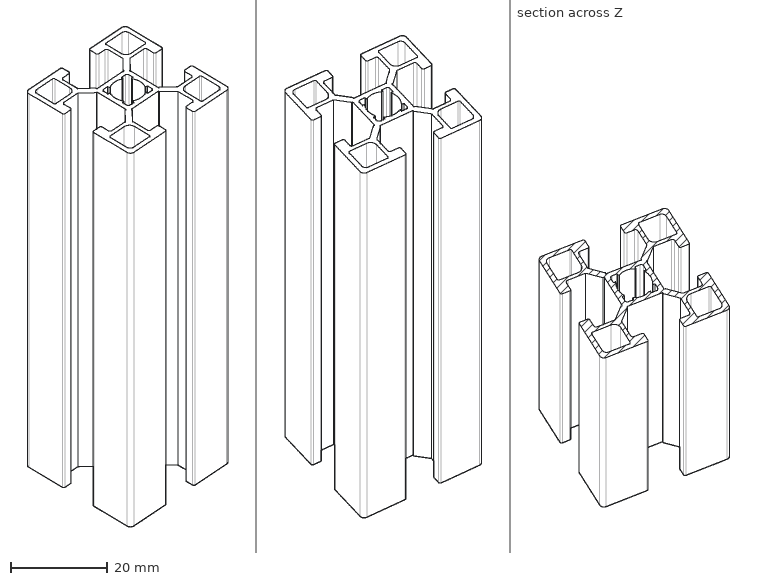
import cadquery as cq
import math

length = 100.0
width = 30.0
outer_radius = 1.0

slot_opening = 8.2
cavity_width = 13.6
lip_thickness = 2.5
lip_radius = 0.4
cavity_radius = 0.5
web_thickness = 1.5
core_width = 9.8

post_wall = 0.95
skin = 1.2
pocket_outer_radius = 1.0
pocket_inner_radius = 1.5
pocket_side_radius = 0.3

bore_width = 6.6
bore_diameter = 7.5
notch_start = 2.1
notch_radius = 0.5

half_width = width / 2
half_opening = slot_opening / 2
half_cavity = cavity_width / 2
half_core = core_width / 2
lip_inner = half_width - lip_thickness
web_offset = web_thickness / 2 * math.sqrt(2)
reach = 0.05

SIDES = (0, 90, 180, 270)


def round_edges(body, points, radius):
    """Fillet the lengthwise edges that pass through the given (x, y) points."""
    for x, y in points:
        box = cq.selectors.BoxSelector(
            (x - reach, y - reach, -reach), (x + reach, y + reach, length + reach)
        )
        body = body.edges("|Z").edges(box).fillet(radius)
    return body


def box_between(x_min, x_max, y_min, y_max):
    """Full-length bar filling the given X and Y ranges."""
    return (
        cq.Workplane("XY")
        .center((x_min + x_max) / 2, (y_min + y_max) / 2)
        .rect(x_max - x_min, y_max - y_min)
        .extrude(length)
    )


def cut_on_all_sides(body, cutter):
    for angle in SIDES:
        body = body.cut(cutter.rotate((0, 0, 0), (0, 0, 1), angle))
    return body


def make_slot():
    """T-slot opening on the +Y side, with a cavity narrowing at 45 degrees to the core."""
    opening = box_between(-half_opening, half_opening, half_core, half_width)
    cavity = (
        cq.Workplane("XY")
        .polyline([
            (-half_cavity, lip_inner),
            (-half_cavity, half_cavity + web_offset),
            (web_offset - half_core, half_core),
            (half_core - web_offset, half_core),
            (half_cavity, half_cavity + web_offset),
            (half_cavity, lip_inner),
        ])
        .close()
        .extrude(length)
    )
    cavity = round_edges(
        cavity, [(-half_cavity, lip_inner), (half_cavity, lip_inner)], cavity_radius
    )
    return opening.union(cavity)


def make_pocket():
    """Square hollow of the +X +Y corner post."""
    inner = half_cavity + post_wall
    outer = half_width - skin
    pocket = box_between(inner, outer, inner, outer)
    pocket = round_edges(pocket, [(outer, outer)], pocket_outer_radius)
    pocket = round_edges(pocket, [(inner, inner)], pocket_inner_radius)
    return round_edges(pocket, [(inner, outer), (outer, inner)], pocket_side_radius)


def make_bore():
    """Centre hole: a square core, a coaxial round bore and a notch in each corner."""
    bore_radius = bore_diameter / 2
    square = cq.Workplane("XY").rect(bore_width, bore_width).extrude(length)
    bore = square.union(cq.Workplane("XY").circle(bore_radius).extrude(length))
    notch = box_between(notch_start, bore_radius, notch_start, bore_radius)
    notch = round_edges(notch, [(bore_radius, bore_radius)], notch_radius)
    for angle in SIDES:
        bore = bore.union(notch.rotate((0, 0, 0), (0, 0, 1), angle))
    return bore


profile = cq.Workplane("XY").rect(width, width).extrude(length)
profile = profile.edges("|Z").fillet(outer_radius)
profile = cut_on_all_sides(profile, make_slot())
profile = cut_on_all_sides(profile, make_pocket())
profile = profile.cut(make_bore())

lip_edges = []
for across in (-half_opening, half_opening):
    for depth in (-half_width, -lip_inner, lip_inner, half_width):
        lip_edges.append((across, depth))
        lip_edges.append((depth, across))

result = round_edges(profile, lip_edges, lip_radius)